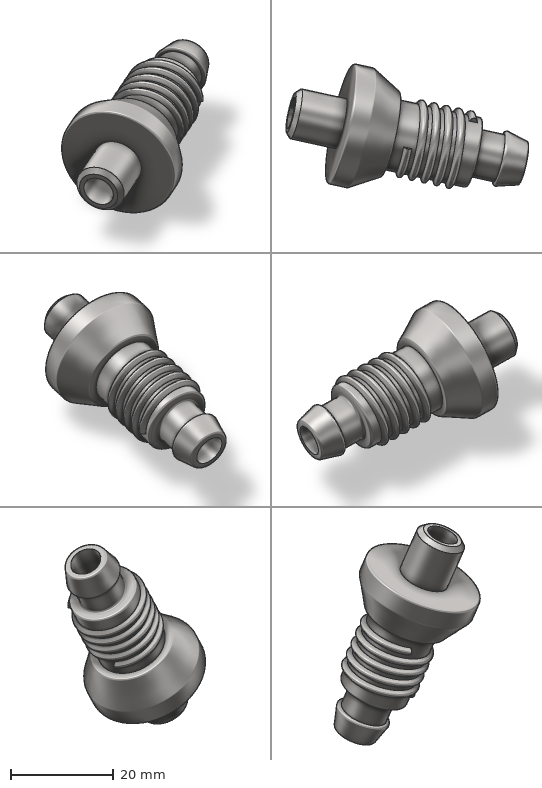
import cadquery as cq
import math

PIN_LENGTH = 10.0
FLANGE_TOP = 14.0
CONE_TOP = 20.0
BODY_TOP = 37.0
BARB_BASE = 42.0
TOTAL_LENGTH = 47.0

PIN_DIAMETER = 10.0
FLANGE_DIAMETER = 24.0
BODY_DIAMETER = 14.0
NECK_DIAMETER = 9.5
BARB_BASE_DIAMETER = 11.37
BARB_TIP_DIAMETER = 8.65
BORE_DIAMETER = 6.2

CONE_HALF_ANGLE = 30.0
PIN_CHAMFER = 1.0
EDGE_RADIUS = 0.5

THREAD_START = 23.05
THREAD_LENGTH = 12.0
THREAD_TURNS = 4.8
THREAD_END_ANGLE = 0.0
THREAD_HEIGHT = 0.9
THREAD_CREST_RADIUS = 0.5
THREAD_ROOT_RADIUS = 0.25
THREAD_FLANK_ANGLE = 30.0
THREAD_EMBED = 0.25
THREAD_ROOT_SINK = 0.05

PIN_RADIUS = PIN_DIAMETER / 2
FLANGE_RADIUS = FLANGE_DIAMETER / 2
BODY_RADIUS = BODY_DIAMETER / 2
NECK_RADIUS = NECK_DIAMETER / 2
BARB_BASE_RADIUS = BARB_BASE_DIAMETER / 2
BARB_TIP_RADIUS = BARB_TIP_DIAMETER / 2
BORE_RADIUS = BORE_DIAMETER / 2
CONE_TOP_RADIUS = FLANGE_RADIUS - (CONE_TOP - FLANGE_TOP) * math.tan(math.radians(CONE_HALF_ANGLE))


def make_turned_blank():
    """Revolve the sharp-edged outline, bore included, around the Y axis."""
    outline = [
        (BORE_RADIUS, 0),
        (PIN_RADIUS - PIN_CHAMFER, 0),
        (PIN_RADIUS, PIN_CHAMFER),
        (PIN_RADIUS, PIN_LENGTH),
        (FLANGE_RADIUS, PIN_LENGTH),
        (FLANGE_RADIUS, FLANGE_TOP),
        (CONE_TOP_RADIUS, CONE_TOP),
        (BODY_RADIUS, CONE_TOP),
        (BODY_RADIUS, BODY_TOP),
        (NECK_RADIUS, BODY_TOP),
        (NECK_RADIUS, BARB_BASE),
        (BARB_BASE_RADIUS, BARB_BASE),
        (BARB_TIP_RADIUS, TOTAL_LENGTH),
        (BORE_RADIUS, TOTAL_LENGTH),
    ]
    return cq.Workplane("XY").polyline(outline).close().revolve(360, (0, 0), (0, 1))


def round_edges(blank):
    """Fillet the listed circular edges, each given by its radius and station."""
    rounded_edges = [
        (FLANGE_RADIUS, PIN_LENGTH),
        (FLANGE_RADIUS, FLANGE_TOP),
        (CONE_TOP_RADIUS, CONE_TOP),
        (BODY_RADIUS, BODY_TOP),
        (NECK_RADIUS, BODY_TOP),
        (BARB_BASE_RADIUS, BARB_BASE),
        (BARB_TIP_RADIUS, TOTAL_LENGTH),
    ]
    tolerance = 0.0005

    def is_rounded(edge):
        station = edge.Center().y
        return any(
            abs(edge.radius() - radius) < tolerance and abs(station - level) < tolerance
            for radius, level in rounded_edges
        )

    edges = [edge for edge in blank.edges("%CIRCLE").vals() if is_rounded(edge)]
    return blank.newObject(edges).fillet(EDGE_RADIUS)


def thread_profile():
    """Ridge section in the XZ plane at the start of a helix along Z.

    Round crest, straight flanks, and concave fillets where the flanks meet the body.
    """
    flank = math.radians(THREAD_FLANK_ANGLE)
    crest_center = THREAD_HEIGHT - THREAD_CREST_RADIUS
    crest_height = crest_center + THREAD_CREST_RADIUS * math.sin(flank)
    crest_half_width = THREAD_CREST_RADIUS * math.cos(flank)

    sharp_half_width = crest_half_width + (crest_height + THREAD_ROOT_SINK) * math.tan(flank)
    corner_turn = math.pi / 2 - flank
    root_half_width = sharp_half_width + THREAD_ROOT_RADIUS * math.tan(corner_turn / 2)
    flank_height = -THREAD_ROOT_SINK + THREAD_ROOT_RADIUS * (1 - math.cos(corner_turn))
    flank_half_width = root_half_width - THREAD_ROOT_RADIUS * math.sin(corner_turn)
    root_mid_height = -THREAD_ROOT_SINK + THREAD_ROOT_RADIUS * (1 - math.cos(corner_turn / 2))
    root_mid_half_width = root_half_width - THREAD_ROOT_RADIUS * math.sin(corner_turn / 2)

    def point(height, offset):
        return (BODY_RADIUS + height, offset)

    return (
        cq.Workplane("XZ")
        .moveTo(*point(-THREAD_EMBED, -root_half_width))
        .lineTo(*point(-THREAD_ROOT_SINK, -root_half_width))
        .threePointArc(point(root_mid_height, -root_mid_half_width), point(flank_height, -flank_half_width))
        .lineTo(*point(crest_height, -crest_half_width))
        .threePointArc(point(THREAD_HEIGHT, 0), point(crest_height, crest_half_width))
        .lineTo(*point(flank_height, flank_half_width))
        .threePointArc(point(root_mid_height, root_mid_half_width), point(-THREAD_ROOT_SINK, root_half_width))
        .lineTo(*point(-THREAD_EMBED, root_half_width))
        .close()
    )


def make_thread():
    """Sweep the ridge up a helix on Z, then turn it onto the Y axis."""
    pitch = THREAD_LENGTH / THREAD_TURNS
    helix = cq.Wire.makeHelix(pitch, THREAD_LENGTH, BODY_RADIUS)
    ridge = thread_profile().sweep(cq.Workplane(obj=helix), isFrenet=True)
    start_angle = THREAD_END_ANGLE - 360 * THREAD_TURNS
    return (
        ridge.rotate((0, 0, 0), (0, 0, 1), start_angle)
        .rotate((0, 0, 0), (1, 0, 0), -90)
        .translate((0, THREAD_START, 0))
    )


result = round_edges(make_turned_blank()).union(make_thread())